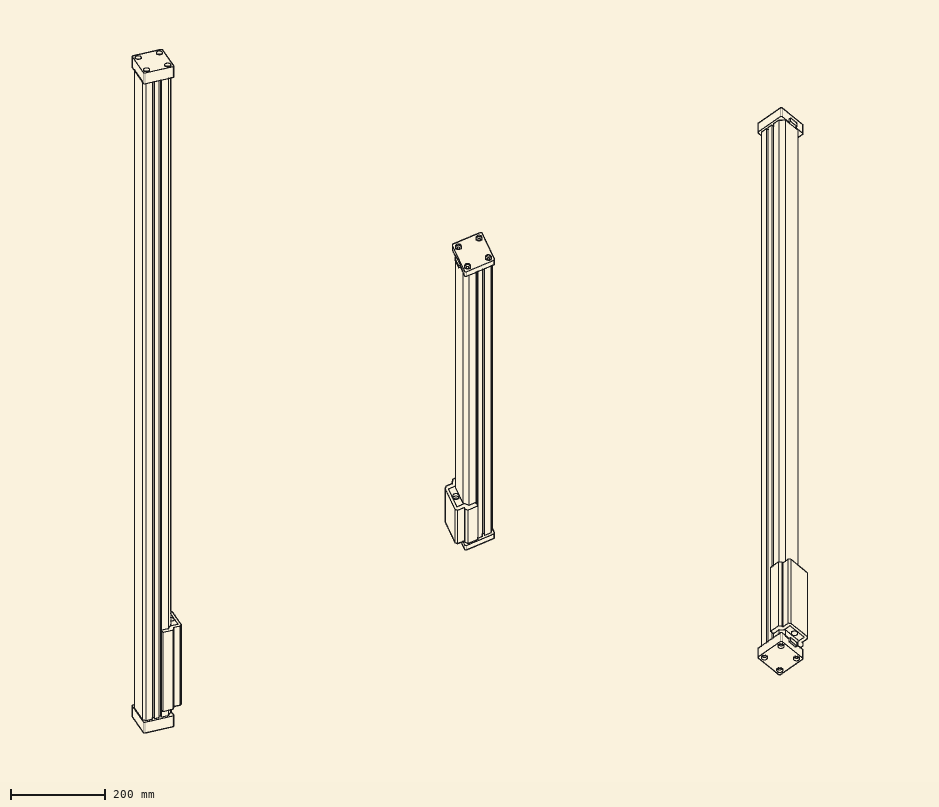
import cadquery as cq


total_length = 1700.0
total_width = 77.0
total_depth = 88.5

cap_size = 69.0
cap_length = 28.0
cap_corner_radius = 3.0
cap_half = cap_size / 2
screw_offset = 24.0
screw_head_diameter = 13.0
screw_head_depth = 8.0
screw_hole_diameter = 5.3

clamp_width = 20.0
clamp_height = 4.0
clamp_start = 17.0

barrel_half_width = 29.5
barrel_half_depth = 33.0
plain_chamfer = 5.5
band_chamfer = 10.0
slot_width = 5.2
slot_depth = 5.0
slot_pitch = 15.4
slot_middle = -2.8

carriage_length = 204.0
carriage_middle = 150.0
carriage_start = carriage_middle - carriage_length / 2
yoke_half_width = 22.0
yoke_top = 48.0
yoke_bore_diameter = 13.5
yoke_bore_depth = 15.0
yoke_hole_diameter = 4.92

cover_top = total_depth - cap_half
cover_half_width = total_width / 2
cover_neck_half_width = 30.0
cover_chamfer = 4.0
shoulder_top = 34.5
shoulder_width = 5.5
shoulder_height = 4.5
cover_skirt_bottom = 7.0


def mirrored_prism(half_outline, start, length):
    """Extrude along Z the outline given by its +X half, from the -Y end to the +Y end."""
    mirror_half = [(-x, y) for x, y in reversed(half_outline)]
    return cq.Workplane("XY", origin=(0, 0, start)).polyline(half_outline + mirror_half).close().extrude(length)


def barrel_prism(start, length):
    """Barrel outline without its slots: small chamfers at -Y, large ones beside the band at +Y."""
    half_outline = [
        (barrel_half_width - plain_chamfer, -barrel_half_depth),
        (barrel_half_width, -barrel_half_depth + plain_chamfer),
        (barrel_half_width, barrel_half_depth - band_chamfer),
        (barrel_half_width - band_chamfer, barrel_half_depth),
    ]
    return mirrored_prism(half_outline, start, length)


def make_barrel():
    barrel_length = total_length - 2 * cap_length
    slot_places = [
        (side * barrel_half_width, slot_middle + step * slot_pitch / 2)
        for side in (-1, 1)
        for step in (-1, 1)
    ]
    slots = (
        cq.Workplane("XY", origin=(0, 0, cap_length))
        .pushPoints(slot_places)
        .rect(2 * slot_depth, slot_width)
        .extrude(barrel_length)
    )
    return barrel_prism(cap_length, barrel_length).cut(slots)


def make_cap():
    """Upper end cap with its outer face at the top of the cylinder."""
    block = (
        cq.Workplane("XY", origin=(0, 0, total_length - cap_length))
        .rect(cap_size, cap_size)
        .extrude(cap_length)
        .edges("|Z")
        .fillet(cap_corner_radius)
    )
    block = (
        block.faces(">Z")
        .workplane(origin=(0, 0, total_length))
        .rect(2 * screw_offset, 2 * screw_offset, forConstruction=True)
        .vertices()
        .cboreHole(screw_hole_diameter, screw_head_diameter, screw_head_depth, cap_length)
    )
    clamp = (
        cq.Workplane("XY", origin=(0, cap_half + clamp_height / 2, total_length - cap_length))
        .rect(clamp_width, clamp_height)
        .extrude(cap_length - clamp_start)
    )
    return block.union(clamp)


def make_cylinder():
    upper_cap = make_cap()
    lower_cap = upper_cap.mirror("XY", (0, 0, total_length / 2))
    return make_barrel().union(upper_cap).union(lower_cap)


def yoke_block():
    """Yoke without its bores, seated on the +Y face and chamfers of the barrel."""
    half_outline = [(yoke_half_width, 0), (yoke_half_width, yoke_top)]
    block = mirrored_prism(half_outline, carriage_start, carriage_length)
    return block.cut(barrel_prism(carriage_start, carriage_length))


def make_yoke():
    bore_height = (barrel_half_depth + yoke_top) / 2
    yoke = yoke_block()
    for end in ("<Z", ">Z"):
        yoke = (
            yoke.faces(end)
            .workplane(origin=(0, bore_height, 0))
            .cboreHole(yoke_hole_diameter, yoke_bore_diameter, yoke_bore_depth)
        )
    return yoke


def make_cover():
    half_outline = [
        (cover_half_width, cover_skirt_bottom),
        (cover_half_width, shoulder_top - shoulder_height),
        (cover_half_width - shoulder_width, shoulder_top),
        (cover_neck_half_width, shoulder_top),
        (cover_neck_half_width, cover_top - cover_chamfer),
        (cover_neck_half_width - cover_chamfer, cover_top),
    ]
    cover = mirrored_prism(half_outline, carriage_start, carriage_length)
    return cover.cut(barrel_prism(carriage_start, carriage_length)).cut(yoke_block())


cylinder = make_cylinder()
yoke = make_yoke()
cover = make_cover()

result = cq.Compound.makeCompound([body.solids().val() for body in (cylinder, yoke, cover)])